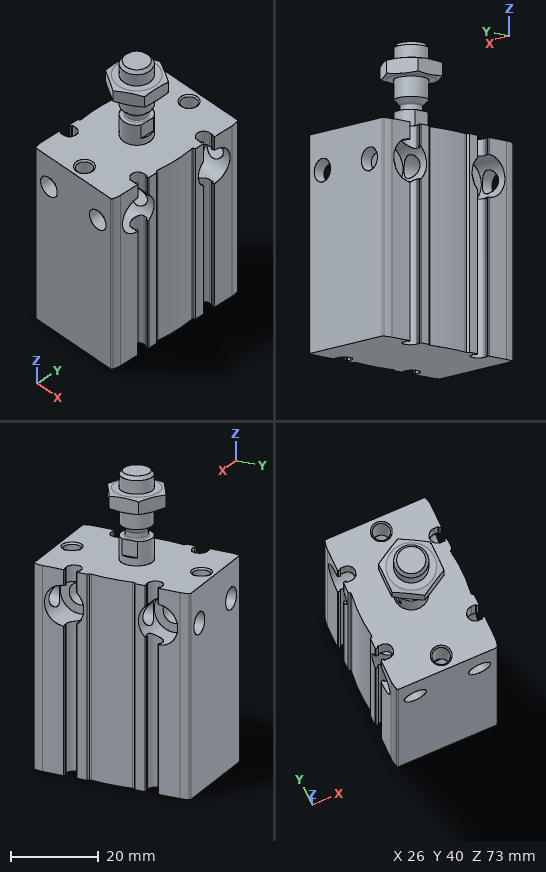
import cadquery as cq
import math

width_x = 26.0
depth_y = 40.0
overall_height = 73.0
housing_height = 51.0
half_x = width_x / 2
half_y = depth_y / 2

corner_arc_start_y = 17.5
corner_arc_inset = 0.4
corner_round = 0.4

panel_edge_y = 6.1
panel_floor_start_y = 5.8
panel_bow_start_y = 5.25
panel_depth = 0.5
panel_bow_height = 0.4

groove_y = 10.4
groove_width = 3.0
groove_mouth_chamfer = 0.2
groove_inner_width = 3.7
groove_lip = 0.7
groove_depth = 3.65

mount_hole_diameter = 5.5
mount_hole_drop = 9.0
mount_hole_z = housing_height - mount_hole_drop
front_hole_x = 8.0
side_hole_y = 12.0
counterbore_diameter = 10.0
counterbore_depth = 8.0

top_hole_y = 16.5
top_hole_diameter = 4.15
top_hole_mouth_diameter = 5.0
top_hole_depth = 8.0
drill_tip_angle = 118.0

rod_diameter = 8.0
rod_neck_diameter = 5.3
rod_neck_fillet = 0.3
rod_tip_diameter = 6.65
rod_tip_chamfer_height = 0.9
rod_shoulder_height = 6.0
rod_flat_bottom_height = 2.0
rod_flat_width = 7.0
thread_length = 13.0

nut_across_flats = 13.0
nut_thickness = 4.0
nut_bottom_z = 64.75
nut_face_diameter = 11.5
nut_chamfer_angle = 15.0


def side_profile():
    """Closed half outline of the housing on the +X side of the YZ plane."""
    corner_x = half_x - corner_arc_inset
    corner_y = half_y - corner_round
    arc_middle = (half_x - corner_arc_inset / 4, (corner_arc_start_y + corner_y) / 2)
    round_leg = corner_round * (1 - math.sqrt(0.5))
    round_middle = (corner_x - round_leg, half_y - round_leg)
    panel_x = half_x - panel_depth
    return (
        cq.Workplane("XY")
        .moveTo(0, -half_y)
        .lineTo(corner_x - corner_round, -half_y)
        .threePointArc((round_middle[0], -round_middle[1]), (corner_x, -corner_y))
        .threePointArc((arc_middle[0], -arc_middle[1]), (half_x, -corner_arc_start_y))
        .lineTo(half_x, -panel_edge_y)
        .lineTo(panel_x, -panel_floor_start_y)
        .lineTo(panel_x, -panel_bow_start_y)
        .threePointArc((panel_x + panel_bow_height, 0), (panel_x, panel_bow_start_y))
        .lineTo(panel_x, panel_floor_start_y)
        .lineTo(half_x, panel_edge_y)
        .lineTo(half_x, corner_arc_start_y)
        .threePointArc(arc_middle, (corner_x, corner_y))
        .threePointArc(round_middle, (corner_x - corner_round, half_y))
        .lineTo(0, half_y)
        .close()
    )


def sensor_groove(y):
    """Cutter for one sensor groove in the +X side face."""
    throat = groove_width / 2
    mouth = throat + groove_mouth_chamfer
    throat_x = half_x - groove_mouth_chamfer
    inner = groove_inner_width / 2
    lip_x = half_x - groove_lip
    arc_x = half_x - groove_depth + inner
    return (
        cq.Workplane("XY")
        .moveTo(half_x, y - mouth)
        .lineTo(throat_x, y - throat)
        .lineTo(lip_x, y - throat)
        .lineTo(lip_x, y - inner)
        .lineTo(arc_x, y - inner)
        .threePointArc((half_x - groove_depth, y), (arc_x, y + inner))
        .lineTo(lip_x, y + inner)
        .lineTo(lip_x, y + throat)
        .lineTo(throat_x, y + throat)
        .lineTo(half_x, y + mouth)
        .close()
        .extrude(housing_height)
    )


def front_hole(x):
    """Cutter for a plain hole right through along Y."""
    plane = cq.Plane(origin=(x, -half_y, mount_hole_z), xDir=(1, 0, 0), normal=(0, 1, 0))
    return cq.Workplane(plane).circle(mount_hole_diameter / 2).extrude(depth_y)


def side_hole(y):
    """Cutter for a through hole along X, counterbored from both side faces."""
    start_face = cq.Plane(origin=(-half_x, y, mount_hole_z), xDir=(0, 1, 0), normal=(1, 0, 0))
    through = cq.Workplane(start_face).circle(mount_hole_diameter / 2).extrude(width_x)
    counterbore = cq.Workplane(start_face).circle(counterbore_diameter / 2).extrude(counterbore_depth)
    return through.union(counterbore).union(counterbore.mirror("YZ"))


def top_hole(y):
    """Cutter for a blind hole in the top face, with a chamfered mouth and a drill-point end."""
    radius = top_hole_diameter / 2
    mouth_radius = top_hole_mouth_diameter / 2
    tip_height = radius / math.tan(math.radians(drill_tip_angle / 2))
    return (
        cq.Workplane("XZ")
        .moveTo(0, 0)
        .lineTo(mouth_radius, 0)
        .lineTo(radius, radius - mouth_radius)
        .lineTo(radius, -top_hole_depth)
        .lineTo(0, -top_hole_depth - tip_height)
        .close()
        .revolve(360, (0, 0), (0, 1))
        .translate((0, y, housing_height))
    )


def make_housing():
    """Extruded block, symmetric about the YZ plane, with all its grooves and holes."""
    half = side_profile().extrude(housing_height)
    for side in (-1, 1):
        half = half.cut(sensor_groove(side * groove_y))
    housing = half.union(half.mirror("YZ"))
    for side in (-1, 1):
        housing = housing.cut(front_hole(side * front_hole_x))
        housing = housing.cut(side_hole(side * side_hole_y))
        housing = housing.cut(top_hole(side * top_hole_y))
    return housing


def make_rod():
    """Turned rod standing on the housing, with two wrench flats below the neck."""
    radius = rod_diameter / 2
    neck_radius = rod_neck_diameter / 2
    tip_radius = rod_tip_diameter / 2
    shoulder_z = housing_height + rod_shoulder_height
    thread_start_z = overall_height - thread_length
    rod = (
        cq.Workplane("XZ")
        .moveTo(0, housing_height)
        .lineTo(radius, housing_height)
        .lineTo(radius, shoulder_z)
        .lineTo(neck_radius, shoulder_z)
        .lineTo(neck_radius, thread_start_z - (radius - neck_radius))
        .lineTo(radius, thread_start_z)
        .lineTo(radius, overall_height - rod_tip_chamfer_height)
        .lineTo(tip_radius, overall_height)
        .lineTo(0, overall_height)
        .close()
        .revolve(360, (0, 0), (0, 1))
    )
    neck_ends = rod.edges("%CIRCLE").filter(lambda edge: math.isclose(edge.radius(), neck_radius))
    rod = neck_ends.fillet(rod_neck_fillet)
    flat_height = rod_shoulder_height - rod_flat_bottom_height
    flat_offset = rod_flat_width / 2 + radius / 2
    flats = (
        cq.Workplane("XY", origin=(0, 0, housing_height + rod_flat_bottom_height))
        .pushPoints([(-flat_offset, 0), (flat_offset, 0)])
        .rect(radius, rod_diameter)
        .extrude(flat_height)
    )
    return rod.cut(flats)


def make_nut():
    """Hexagon nut with its points along Y and both faces chamfered at the corners."""
    corner_radius = nut_across_flats / math.sqrt(3)
    face_radius = nut_face_diameter / 2
    corner_drop = (corner_radius - face_radius) * math.tan(math.radians(nut_chamfer_angle))
    hexagon = (
        cq.Workplane("XY")
        .polygon(6, 2 * corner_radius)
        .extrude(nut_thickness)
        .rotate((0, 0, 0), (0, 0, 1), 90)
    )
    chamfer_envelope = (
        cq.Workplane("XZ")
        .moveTo(0, 0)
        .lineTo(face_radius, 0)
        .lineTo(corner_radius, corner_drop)
        .lineTo(corner_radius, nut_thickness - corner_drop)
        .lineTo(face_radius, nut_thickness)
        .lineTo(0, nut_thickness)
        .close()
        .revolve(360, (0, 0), (0, 1))
    )
    bore = cq.Workplane("XY").circle(rod_diameter / 2).extrude(nut_thickness)
    return hexagon.intersect(chamfer_envelope).cut(bore).translate((0, 0, nut_bottom_z))


housing = make_housing()
rod = make_rod()
nut = make_nut()

result = cq.Compound.makeCompound([housing.val(), rod.val(), nut.val()])